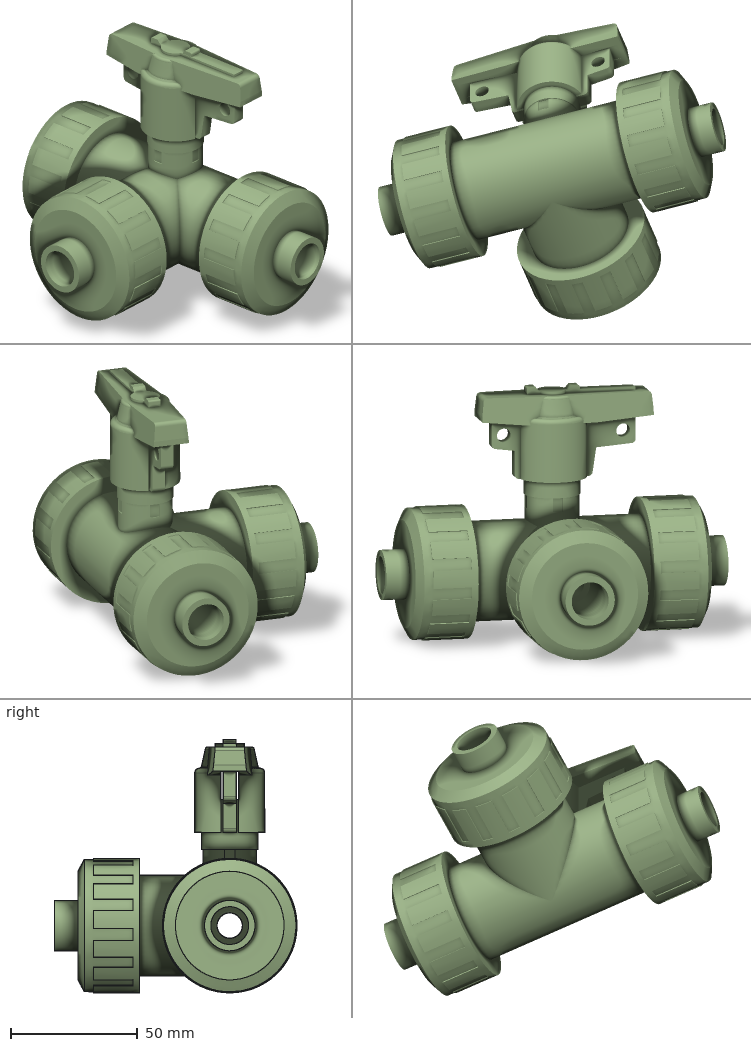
import cadquery as cq
import math


ARM_LENGTH = 69.2
PIPE_RADIUS = 10.0
SOCKET_RADIUS = 7.5
BORE_RADIUS = 5.0
BODY_RADIUS = 20.0
NUT_START = 35.6
NUT_END = 60.0
NUT_CHAMFER_START = 57.5
NUT_CHAMFER_RADIUS = 21.5
NUT_RADIUS = 26.2
GRIP_RING_END = 53.9
GRIP_RING_RADIUS = 26.6
NOTCH_START = 38.2
NOTCH_COUNT = 14
NOTCH_WIDTH = 4.7
NOTCH_PHASE = 5.2
ARM_DIRECTIONS = (0, 180, 270)

STEM_RADIUS = 10.8
COLLAR_RADIUS = 11.2
COLLAR_BOTTOM = 30.0
STEM_TOP = 49.9
WINDOW_WIDTH = 4.0
WINDOW_HEIGHT = 5.5
WINDOW_DEPTH = 0.5

HUB_RADIUS = 13.8
HUB_BOTTOM = 36.8
HUB_TOP = 62.2
HUB_FILLET = 2.0
CONE_FOOT_HEIGHT = 0.5
CONE_BASE_RADIUS = 11.2
CONE_TOP_RADIUS = 9.7
CONE_TOP_FILLET = 1.1
SLOT_WIDTH = 7.0
SLOT_TOP = 61.0

GRIP_TOP = 70.6
GRIP_BOTTOM = 59.4
GRIP_TAPER = 6.0
GRIP_LEFT = -30.2
GRIP_RIGHT = 40.2
GRIP_LEFT_HALF_WIDTH = 7.6
GRIP_MIDDLE_HALF_WIDTH = 9.3
GRIP_RIGHT_HALF_WIDTH = 6.8
GRIP_MIDDLE = 4.2
GRIP_END_BOTTOM = 61.1
UNDERSIDE_LEFT = -12.0
UNDERSIDE_RIGHT = 16.2
GRIP_END_FILLET = 1.7
GRIP_END_TRIM = 0.4

RIB_THICKNESS = 5.3
RIB_LEFT = -24.9
RIB_RIGHT = 33.2
RIB_STEP = 48.2
RIB_OUTER_BOTTOM = 49.5
RIB_LOWER_LEFT = -15.7
RIB_LOWER_RIGHT = 15.7
RIB_STEP_RIGHT = 17.3
RIB_FILLET = 1.7
LOCK_HOLE_RADIUS = 2.8
LOCK_HOLE_HEIGHT = 54.5
LOCK_HOLES_X = (-20.1, 28.3)

MARK_TOP = 71.9
DISC_RADIUS = 5.8
POINTER_END = 33.2
POINTER_WIDTH = 5.4
TAB_TOP = 73.5
TAB_WIDTH = 5.1
TAB_OUTER = 10.7
TAB_INNER = 7.2
TAB_FILLET = 0.7


def cylinder(radius, bottom, top):
    return cq.Workplane("XY").workplane(offset=bottom).circle(radius).extrude(top - bottom)


def cylinder_along_x(radius, start, end):
    return cq.Workplane("YZ").workplane(offset=start).circle(radius).extrude(end - start)


def block(left, right, width, bottom, top):
    """Box centred on Y."""
    return cq.Workplane("XY").box(
        right - left, width, top - bottom, centered=(False, True, False)
    ).translate((left, 0, bottom))


def union_nut():
    """Solid nut along +X, wrapped in a raised ring that is split into grip ribs."""
    nut = (
        cq.Workplane("XZ")
        .moveTo(NUT_START, 0)
        .lineTo(NUT_START, NUT_RADIUS)
        .lineTo(NUT_CHAMFER_START, NUT_RADIUS)
        .lineTo(NUT_END, NUT_CHAMFER_RADIUS)
        .lineTo(NUT_END, 0)
        .close()
        .revolve(360, (0, 0, 0), (1, 0, 0))
    )
    ring = cylinder_along_x(GRIP_RING_RADIUS, NUT_START, GRIP_RING_END)
    ring = ring.cut(cylinder_along_x(NUT_RADIUS, NUT_START, GRIP_RING_END))
    notch = block(NOTCH_START, GRIP_RING_END, NOTCH_WIDTH, 0, GRIP_RING_RADIUS)
    for index in range(NOTCH_COUNT):
        angle = NOTCH_PHASE + index * 360 / NOTCH_COUNT
        ring = ring.cut(notch.rotate((0, 0, 0), (1, 0, 0), angle))
    return nut.union(ring)


def valve_body():
    arm = cylinder_along_x(BODY_RADIUS, 0, NUT_START)
    arm = arm.union(union_nut()).union(cylinder_along_x(PIPE_RADIUS, NUT_START, ARM_LENGTH))
    passage = cylinder_along_x(BORE_RADIUS, 0, ARM_LENGTH)
    passage = passage.union(cylinder_along_x(SOCKET_RADIUS, NUT_START, ARM_LENGTH))

    body = cq.Workplane("XY")
    passages = cq.Workplane("XY")
    for direction in ARM_DIRECTIONS:
        body = body.union(arm.rotate((0, 0, 0), (0, 0, 1), direction))
        passages = passages.union(passage.rotate((0, 0, 0), (0, 0, 1), direction))
    return body.union(stem()).cut(passages)


def stem():
    """Round stem with a shallow flat window on each of its four sides."""
    post = cylinder(STEM_RADIUS, 0, COLLAR_BOTTOM)
    window = block(
        STEM_RADIUS - WINDOW_DEPTH, COLLAR_RADIUS, WINDOW_WIDTH,
        COLLAR_BOTTOM - WINDOW_HEIGHT, COLLAR_BOTTOM,
    )
    for angle in (0, 90, 180, 270):
        post = post.cut(window.rotate((0, 0, 0), (0, 0, 1), angle))
    return post.union(cylinder(COLLAR_RADIUS, COLLAR_BOTTOM, STEM_TOP))


def hub():
    """Round hub with a rounded shoulder, topped by a cone with a rounded rim."""
    shoulder_radius = HUB_RADIUS - HUB_FILLET
    rim_bottom = GRIP_TOP - CONE_TOP_FILLET
    rim_radius = CONE_TOP_RADIUS - CONE_TOP_FILLET
    half_arc = math.sqrt(0.5)
    return (
        cq.Workplane("XZ")
        .moveTo(0, HUB_BOTTOM)
        .lineTo(HUB_RADIUS, HUB_BOTTOM)
        .lineTo(HUB_RADIUS, HUB_TOP - HUB_FILLET)
        .threePointArc(
            (shoulder_radius + HUB_FILLET * half_arc, HUB_TOP - HUB_FILLET + HUB_FILLET * half_arc),
            (shoulder_radius, HUB_TOP),
        )
        .lineTo(CONE_BASE_RADIUS, HUB_TOP + CONE_FOOT_HEIGHT)
        .lineTo(CONE_TOP_RADIUS, rim_bottom)
        .threePointArc(
            (rim_radius + CONE_TOP_FILLET * half_arc, rim_bottom + CONE_TOP_FILLET * half_arc),
            (rim_radius, GRIP_TOP),
        )
        .lineTo(0, GRIP_TOP)
        .close()
        .revolve(360, (0, 0, 0), (0, 1, 0))
    )


def grip():
    """Tapered bar, widest near the hub, with an underside that rises toward both ends."""
    bar = (
        cq.Workplane("XY").workplane(offset=GRIP_BOTTOM)
        .moveTo(GRIP_LEFT, -GRIP_LEFT_HALF_WIDTH)
        .lineTo(-GRIP_MIDDLE, -GRIP_MIDDLE_HALF_WIDTH)
        .lineTo(GRIP_MIDDLE, -GRIP_MIDDLE_HALF_WIDTH)
        .lineTo(GRIP_RIGHT, -GRIP_RIGHT_HALF_WIDTH)
        .lineTo(GRIP_RIGHT, GRIP_RIGHT_HALF_WIDTH)
        .lineTo(GRIP_MIDDLE, GRIP_MIDDLE_HALF_WIDTH)
        .lineTo(-GRIP_MIDDLE, GRIP_MIDDLE_HALF_WIDTH)
        .lineTo(GRIP_LEFT, GRIP_LEFT_HALF_WIDTH)
        .close()
        .extrude(GRIP_TOP - GRIP_BOTTOM, taper=GRIP_TAPER)
    )
    bar = bar.faces(">Z").edges("|Y").fillet(GRIP_END_FILLET)
    left_end = GRIP_LEFT + GRIP_END_TRIM
    right_end = GRIP_RIGHT - GRIP_END_TRIM
    side_profile = (
        cq.Workplane("XZ")
        .moveTo(left_end, GRIP_TOP)
        .lineTo(left_end, GRIP_END_BOTTOM)
        .lineTo(UNDERSIDE_LEFT, GRIP_BOTTOM)
        .lineTo(UNDERSIDE_RIGHT, GRIP_BOTTOM)
        .lineTo(right_end, GRIP_END_BOTTOM)
        .lineTo(right_end, GRIP_TOP)
        .close()
        .extrude(GRIP_MIDDLE_HALF_WIDTH, both=True)
    )
    return bar.intersect(side_profile)


def locking_rib():
    """Thin plate through the hub slot with a padlock hole at each end."""
    rib = (
        cq.Workplane("XZ")
        .moveTo(RIB_LEFT, GRIP_END_BOTTOM)
        .lineTo(RIB_LEFT, RIB_OUTER_BOTTOM)
        .lineTo(RIB_LOWER_LEFT, RIB_STEP)
        .lineTo(RIB_LOWER_LEFT, HUB_BOTTOM)
        .lineTo(RIB_LOWER_RIGHT, HUB_BOTTOM)
        .lineTo(RIB_STEP_RIGHT, RIB_STEP)
        .lineTo(RIB_RIGHT, RIB_OUTER_BOTTOM)
        .lineTo(RIB_RIGHT, GRIP_END_BOTTOM)
        .close()
        .extrude(RIB_THICKNESS / 2, both=True)
    )
    outer_corners = [
        (RIB_LEFT, 0, RIB_OUTER_BOTTOM),
        (RIB_LOWER_LEFT, 0, HUB_BOTTOM),
        (RIB_LOWER_RIGHT, 0, HUB_BOTTOM),
        (RIB_RIGHT, 0, RIB_OUTER_BOTTOM),
    ]
    for corner in outer_corners:
        rib = rib.edges(cq.selectors.NearestToPointSelector(corner)).fillet(RIB_FILLET)
    holes = (
        cq.Workplane("XZ")
        .pushPoints([(x, LOCK_HOLE_HEIGHT) for x in LOCK_HOLES_X])
        .circle(LOCK_HOLE_RADIUS)
        .extrude(RIB_THICKNESS, both=True)
    )
    return rib.cut(holes)


def top_marks():
    """Disc, pointer bar and two upright tabs."""
    disc = cylinder(DISC_RADIUS, GRIP_TOP, MARK_TOP)
    pointer = block(0, POINTER_END, POINTER_WIDTH, GRIP_TOP, MARK_TOP)
    tab = (
        cq.Workplane("XZ")
        .moveTo(0, GRIP_TOP)
        .lineTo(0, MARK_TOP)
        .lineTo(DISC_RADIUS, MARK_TOP)
        .lineTo(TAB_INNER, TAB_TOP)
        .lineTo(TAB_OUTER, TAB_TOP)
        .lineTo(TAB_OUTER, GRIP_TOP)
        .close()
        .extrude(TAB_WIDTH / 2, both=True)
        .edges("|Y and >X and >Z").fillet(TAB_FILLET)
    )
    return disc.union(pointer).union(tab).union(tab.mirror("YZ"))


def handle():
    slot = block(GRIP_LEFT, GRIP_RIGHT, SLOT_WIDTH, HUB_BOTTOM, SLOT_TOP)
    return hub().union(grip()).cut(slot).union(locking_rib()).union(top_marks())


result = valve_body().union(handle())